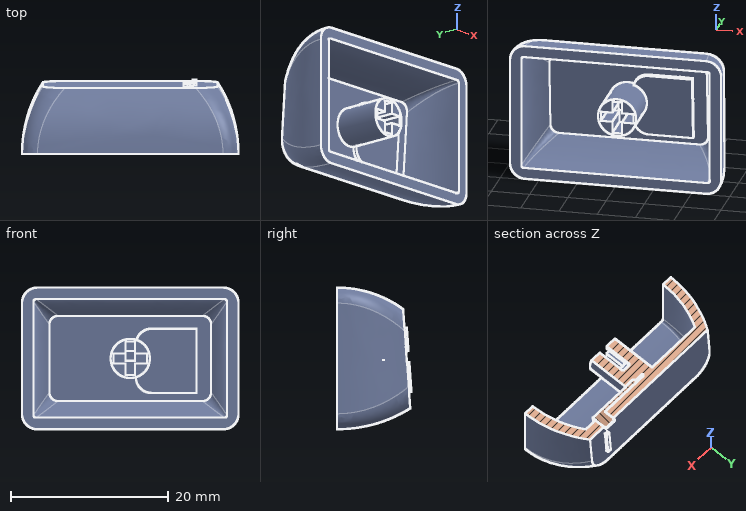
import cadquery as cq
import math

length = 27.62
height = 18.1
wall = 1.5
back_depth = 8.9
tilt = 4.1
tilt_slope = math.tan(math.radians(tilt))
loft_steps = 4

outer_side_drop = 2.68
outer_top_drop = 2.75
outer_bottom_drop = 2.68
outer_mouth_radius = 2.0
outer_back_radius = 2.8

cavity_side_drop = 2.02
cavity_end_drop = 2.13
cavity_mouth_radius = 0.33
cavity_floor_radius = 1.1
floor_depth = back_depth - wall / math.cos(math.radians(tilt))

stem_diameter = 5.0
stem_start = 0.9
cross_span = 4.25
cross_width = 1.25
cross_depth = 4.0
cross_floor = stem_start + cross_depth

plate_thickness = 0.5
plate_left = 0.72
plate_right = 8.45
plate_top = 3.3
plate_bottom = -4.92
plate_corner_radius = 2.0
post_stand = 0.5
bar_raise = 0.3
bar_width = 0.5
upper_bar_left = 6.77
upper_bar_end = 0.28
upper_bar_slope_end = 0.83
lower_bar_end = -1.13


def arc_drop(fraction, end_drop, depth):
    """Inward drop of an arc that leaves the mouth square and drops end_drop at full depth."""
    radius = (depth**2 + end_drop**2) / (2 * end_drop)
    return radius - math.sqrt(radius**2 - (fraction * depth) ** 2)


def domed_block(size_x, size_z, depth, side_drop, top_drop, bottom_drop, mouth_radius, end_radius):
    """Loft of rounded rectangles that shrink along arcs and lean gradually to the tilt."""
    top_depth = depth - tilt_slope * (size_z / 2 - top_drop)
    bottom_depth = depth + tilt_slope * (size_z / 2 - bottom_drop)
    sections = []
    for step in range(loft_steps + 1):
        fraction = step / loft_steps
        half_x = size_x / 2 - arc_drop(fraction, side_drop, depth)
        top_z = size_z / 2 - arc_drop(fraction, top_drop, top_depth)
        bottom_z = -size_z / 2 + arc_drop(fraction, bottom_drop, bottom_depth)
        top_y = fraction * top_depth
        bottom_y = fraction * bottom_depth
        center = (0, (top_y + bottom_y) / 2, (top_z + bottom_z) / 2)
        normal = (0, bottom_z - top_z, top_y - bottom_y)
        slant_height = math.hypot(top_z - bottom_z, bottom_y - top_y)
        plane = cq.Plane(origin=center, xDir=(1, 0, 0), normal=normal)
        outline = cq.Workplane(plane).rect(2 * half_x, slant_height).wires().val()
        corner_radius = mouth_radius + fraction**2 * (end_radius - mouth_radius)
        sections.append(outline.fillet2D(corner_radius, outline.Vertices()))
    return cq.Workplane(cq.Solid.makeLoft(sections))


def at_depth(depth):
    """Workplane parallel to the mouth; a negative extrusion runs towards the back."""
    return cq.Workplane("XZ", origin=(0, depth, 0))


def make_stem(cavity):
    """Round stem down to the cavity floor, with the cross socket cut in its end."""
    stem = at_depth(stem_start).circle(stem_diameter / 2).extrude(-back_depth).intersect(cavity)
    for arm_x, arm_z in ((cross_span, cross_width), (cross_width, cross_span)):
        stem = stem.cut(at_depth(stem_start).rect(arm_x, arm_z).extrude(-cross_depth))
    return stem


def make_insert():
    """Plate, post and bars, drawn upright and then leaned to match the back face."""
    cosine = math.cos(math.radians(tilt))
    plate_back = floor_depth * cosine
    plate_front = plate_back - plate_thickness
    bar_length = wall + bar_raise
    post_tip = cross_floor * cosine - post_stand

    plate = (
        at_depth(plate_front)
        .moveTo(plate_right, plate_bottom)
        .lineTo(plate_right, plate_top)
        .lineTo(plate_left + plate_corner_radius, plate_top)
        .radiusArc((plate_left, plate_top - plate_corner_radius), -plate_corner_radius)
        .lineTo(plate_left, plate_bottom + plate_corner_radius)
        .radiusArc((plate_left + plate_corner_radius, plate_bottom), -plate_corner_radius)
        .close()
        .extrude(-plate_thickness)
    )
    post = at_depth(post_tip).rect(cross_width, cross_width).extrude(post_tip - plate_back)
    link_length = plate_left + cross_width
    link = (
        at_depth(plate_front)
        .center(link_length / 2, 0)
        .rect(link_length, cross_width)
        .extrude(-plate_thickness)
    )
    upper_bar = (
        at_depth(plate_back)
        .moveTo(upper_bar_left, plate_top)
        .lineTo(upper_bar_left + bar_width, plate_top)
        .lineTo(plate_right, upper_bar_slope_end)
        .lineTo(plate_right, upper_bar_end)
        .lineTo(upper_bar_left, upper_bar_end)
        .close()
        .extrude(-bar_length)
    )
    lower_bar = (
        at_depth(plate_back)
        .center(plate_right - bar_width / 2, (lower_bar_end + plate_bottom) / 2)
        .rect(bar_width, lower_bar_end - plate_bottom)
        .extrude(-bar_length)
    )
    insert = plate.union(link).union(post).union(upper_bar).union(lower_bar)
    return insert.rotate((0, 0, 0), (1, 0, 0), tilt)


def make_keycap(insert):
    """Hollow cap with its stem, cut to receive the insert."""
    shell = domed_block(
        length, height, back_depth, outer_side_drop, outer_top_drop, outer_bottom_drop,
        outer_mouth_radius, outer_back_radius,
    )
    cavity = domed_block(
        length - 2 * wall, height - 2 * wall, floor_depth, cavity_side_drop, cavity_end_drop,
        cavity_end_drop, cavity_mouth_radius, cavity_floor_radius,
    )
    return shell.cut(cavity).union(make_stem(cavity)).cut(insert)


insert = make_insert()
keycap = make_keycap(insert)
result = cq.Compound.makeCompound([keycap.val(), insert.val()])